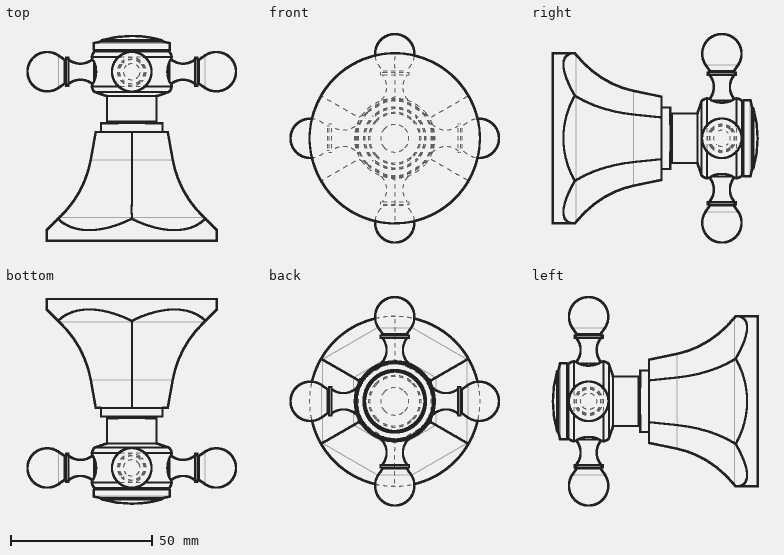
import cadquery as cq
import math


base_radius = 30.2
foot_apothem = 25.7
foot_y = 8.3
foot_slope_angle = 45.0
waist_apothem = 14.6
waist_y = 28.7
top_apothem = 12.8
top_y = 38.65
hexagon_sides = 6

collar_radius = 10.95
collar_top_y = 41.75
neck_radius = 4.95
neck_top_y = 42.3
stem_radius = 8.8

hub_bottom_y = 51.4
hub_bottom_radius = 9.25
hub_centre_y = 60.0
hub_waist_radius = 13.5
hub_bulge_radius = 14.2
hub_bulge_offset = 5.25
hub_end_radius = 13.25
hub_end_offset = 7.2
shoulder_radius = 13.9
shoulder_offset = 6.2

cap_radius = 13.55
cap_bottom_y = 67.7
cap_wall_top_y = 70.0
cap_edge_round = 0.2
cap_slope_radius = 11.1
cap_slope_y = 70.7
dome_radius = 10.5
dome_edge_y = 71.2
overall_height = 72.7

arm_count = 4
arm_tip = 37.0
ball_radius = 7.0
ball_start = 26.05
ball_neck_start = 23.85
ball_neck_radius = 4.3
ring_start = 22.5
ring_end = 23.4
ring_radius = 5.0
arm_root = 13.5
arm_root_radius = 4.8
arm_waist = 18.15
arm_waist_radius = 2.9
arm_end_radius = 4.45
arm_inner_end = 7.4


def round_section(radius, start_y, end_y):
    """Solid cylinder on the Y axis between two heights."""
    return cq.Workplane("XZ", origin=(0, start_y, 0)).circle(radius).extrude(start_y - end_y)


def bell_slab(angle):
    """One pair of opposite flared sides, extruded wider than the base and turned about Y."""
    flare_chord = math.hypot(foot_apothem - waist_apothem, waist_y - foot_y)
    start_angle = math.atan2(waist_apothem - top_apothem, top_y - waist_y)
    chord_angle = math.atan2(foot_apothem - waist_apothem, waist_y - foot_y)
    flare_radius = flare_chord / (2 * math.sin(chord_angle - start_angle))

    foot_edge_apothem = foot_apothem + foot_y / math.tan(math.radians(foot_slope_angle))

    half_profile = (
        cq.Workplane("XY")
        .workplane(offset=-base_radius)
        .lineTo(foot_edge_apothem, 0)
        .lineTo(foot_apothem, foot_y)
        .radiusArc((waist_apothem, waist_y), flare_radius)
        .lineTo(top_apothem, top_y)
        .lineTo(0, top_y)
        .close()
        .extrude(2 * base_radius)
    )
    slab = half_profile.union(half_profile.mirror("YZ"))
    return slab.rotate((0, 0, 0), (0, 1, 0), angle)


def bell_base():
    """Hexagonal flared bell trimmed by a round outline at its foot."""
    bell = round_section(base_radius, 0, top_y)
    for index in range(hexagon_sides // 2):
        bell = bell.intersect(bell_slab(index * 360 / hexagon_sides))
    return bell


def hub_and_cap():
    """Waisted hub, groove and domed cap, revolved about Y."""
    dome_rise = overall_height - dome_edge_y
    dome_sphere_radius = (dome_radius**2 + dome_rise**2) / (2 * dome_rise)
    profile = (
        cq.Workplane("XY")
        .moveTo(0, hub_bottom_y)
        .lineTo(hub_bottom_radius, hub_bottom_y)
        .lineTo(hub_end_radius, hub_centre_y - hub_end_offset)
        .threePointArc(
            (shoulder_radius, hub_centre_y - shoulder_offset),
            (hub_bulge_radius, hub_centre_y - hub_bulge_offset),
        )
        .threePointArc(
            (hub_waist_radius, hub_centre_y),
            (hub_bulge_radius, hub_centre_y + hub_bulge_offset),
        )
        .threePointArc(
            (shoulder_radius, hub_centre_y + shoulder_offset),
            (hub_end_radius, hub_centre_y + hub_end_offset),
        )
        .lineTo(hub_end_radius, cap_bottom_y)
        .lineTo(cap_radius - cap_edge_round, cap_bottom_y)
        .radiusArc((cap_radius, cap_bottom_y + cap_edge_round), -cap_edge_round)
        .lineTo(cap_radius, cap_wall_top_y)
        .radiusArc((cap_radius - cap_edge_round, cap_wall_top_y + cap_edge_round), -cap_edge_round)
        .lineTo(cap_slope_radius, cap_slope_y)
        .lineTo(dome_radius, dome_edge_y)
        .radiusArc((0, overall_height), -dome_sphere_radius)
        .close()
    )
    return profile.revolve(360, (0, 0, 0), (0, 1, 0))


def arm():
    """Arm along +X: waisted neck, thin ring and ball end, revolved about its own axis."""
    ball_centre = arm_tip - ball_radius
    ball_start_radius = math.sqrt(ball_radius**2 - (ball_centre - ball_start) ** 2)
    profile = (
        cq.Workplane("XY", origin=(0, hub_centre_y, 0))
        .moveTo(arm_inner_end, 0)
        .lineTo(arm_inner_end, arm_root_radius)
        .lineTo(arm_root, arm_root_radius)
        .threePointArc((arm_waist, arm_waist_radius), (ring_start, arm_end_radius))
        .lineTo(ring_start, ring_radius)
        .lineTo(ring_end, ring_radius)
        .lineTo(ring_end, ball_neck_radius)
        .lineTo(ball_neck_start, ball_neck_radius)
        .lineTo(ball_start, ball_start_radius)
        .threePointArc((ball_centre, ball_radius), (arm_tip, 0))
        .close()
    )
    return profile.revolve(360, (0, 0, 0), (1, 0, 0))


result = (
    bell_base()
    .union(round_section(collar_radius, top_y, collar_top_y))
    .union(round_section(neck_radius, collar_top_y, neck_top_y))
    .union(round_section(stem_radius, neck_top_y, hub_bottom_y))
    .union(hub_and_cap())
)
for position in range(arm_count):
    result = result.union(arm().rotate((0, 0, 0), (0, 1, 0), position * 360 / arm_count))